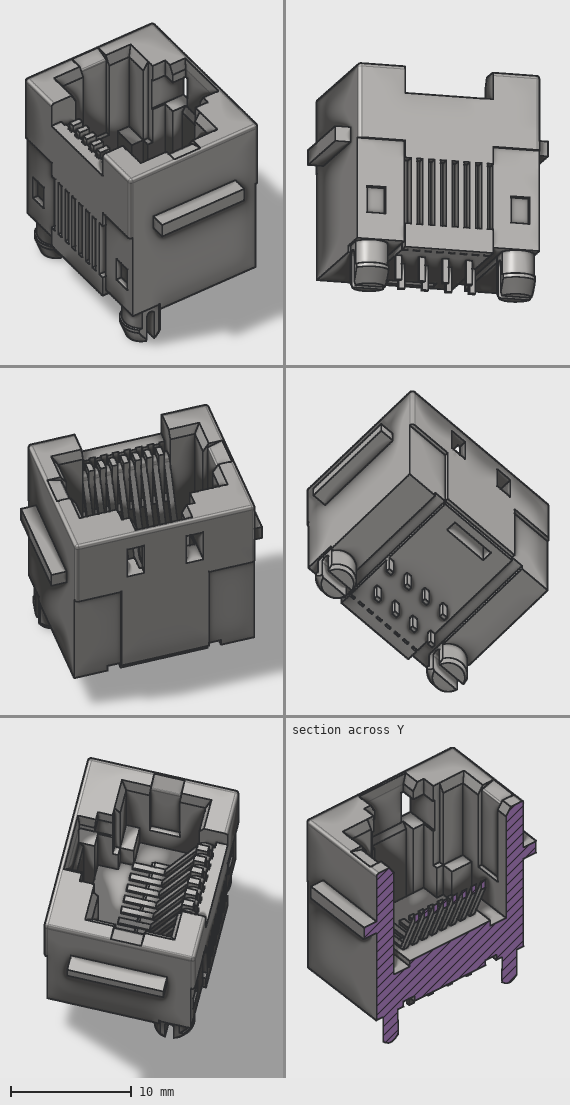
import cadquery as cq
import math


HALF_X = 7.83
HALF_Y = 6.41
TOP_Z = 18.59
BOTTOM_Z = 3.1
EDGE_RADIUS = 0.3
PANEL_STEP = 0.3
PANEL_TOP_Z = 12.2
PANEL_BOTTOM_Z = 3.65
MIDDLE_HALF_X = 3.8
UNDERCUT_BACK_Y = -3.38

EAR_HALF_X = 9.15
EAR_HALF_Y = 4.09
EAR_BOTTOM_Z = 12.35
EAR_TOP_Z = 13.6

CAVITY_HALF_X = 5.93
CAVITY_FRONT_Y = -4.0
CAVITY_BACK_Y = 2.75
MOUTH_HALF_X = 6.43
MOUTH_FRONT_Y = -4.39
MOUTH_BACK_Y = 3.23
CHAMFER_DEPTH = 0.78
LEDGE_Z = 10.2
LEDGE_FRONT_Y = 1.6
FLOOR_Z = 7.06

KEY_HALF_X = 3.83
LATCH_HALF_X = 3.16
LATCH_BACK_Y = 4.48
SLOT_HALF_X = 2.05
SLOT_BACK_Y = 5.78
SLOT_LOWER_BACK_Y = 5.43
SLOT_STEP_TOP_Z = 13.81
SLOT_STEP_BOTTOM_Z = 13.24
SLOT_MOUTH_HALF_X = 2.47
SLOT_MOUTH_BACK_Y = 6.0
WINDOW_INNER_X = 1.82
WINDOW_OUTER_X = 3.3
WINDOW_TOP_Z = 16.95

RELIEF_HALF_X = 6.34
RELIEF_FRONT_Y = -1.82
RELIEF_BACK_Y = 0.76
RELIEF_RIM = 0.15
RELIEF_SLOPE_END_X = 7.62
RELIEF_RIM_Z = 18.22

NOTCH_BOTTOM_Z = 16.25
BAY_FRONT_Y = -5.28
COMB_TOP_Z = 10.73
BAY_FLOOR_Z = COMB_TOP_Z
COMB_BOTTOM_Z = 5.11
GROOVE_FRONT_Y = -5.45

CONTACT_COUNT = 8
CONTACT_WIDTH = 0.5
CONTACT_PITCH = (2 * MIDDLE_HALF_X - CONTACT_WIDTH) / (CONTACT_COUNT - 1)
CONTACT_THICK = 0.33
CURL_RADIUS = 0.61
CURL_TOP_Z = 15.62
CONTACT_BEND_Y = -1.12
CONTACT_FLAT_Z = 7.8
CONTACT_END_Y = LEDGE_FRONT_Y
BLOCK_HALF_X = 4.28
BLOCK_BACK_Y = 0.11
BLOCK_TOP_Z = 7.62
BLOCK_CHAMFER = 0.25
PIN_ROWS = ((-3.36, 1.06), (-0.82, 1.0))
PIN_OVERLAP = 0.37

POCKET_INNER_X = 5.4
POCKET_OUTER_X = 6.99
POCKET_BOTTOM_Z = 5.9
POCKET_TOP_Z = 8.16
POCKET_DEPTH = 0.5

POST_X = 6.3
POST_Y = -4.28
POST_RADIUS = 1.6
POST_HALF_WIDTH = 1.38
BARB_RADIUS = 1.77
BARB_BOTTOM_Z = 1.32
BARB_TOP_Z = 1.65
BARB_SHOULDER_Z = 1.71
FRONT_TIP_RADIUS = 1.3
BACK_TIP_RADIUS = 1.38
BACK_TAPER_Z = 0.48
POST_SLOT_Y = -4.24
POST_SLOT_WIDTH = 0.75


def block(x0, x1, y0, y1, z0, z1):
    """Box between two opposite corners."""
    return cq.Workplane("XY").box(x1 - x0, y1 - y0, z1 - z0, centered=False).translate((x0, y0, z0))


def wide_block(half_x, y0, y1, z0, z1):
    """Box centred on X = 0."""
    return block(-half_x, half_x, y0, y1, z0, z1)


def both_sides(shape):
    """The shape together with its mirror image across X = 0."""
    return shape.union(shape.mirror("YZ"))


def funnel(half_x, y0, y1, mouth_half_x, mouth_y0, mouth_y1):
    """Sloped lead-in from a wide mouth at the top face down to a narrower opening."""
    return (
        cq.Workplane("XY", origin=(0, (y0 + y1) / 2, TOP_Z - CHAMFER_DEPTH))
        .rect(2 * half_x, y1 - y0)
        .workplane(offset=CHAMFER_DEPTH)
        .center(0, (mouth_y0 + mouth_y1 - y0 - y1) / 2)
        .rect(2 * mouth_half_x, mouth_y1 - mouth_y0)
        .loft(combine=True)
    )


def extrude_x(points, x0, x1):
    """Prism along X from a list of (Y, Z) points."""
    return cq.Workplane("YZ", origin=(x0, 0, 0)).polyline(points).close().extrude(x1 - x0)


def make_housing():
    """Rounded outer block with set-back corner panels and an undercut around the posts."""
    body = wide_block(HALF_X, -HALF_Y, HALF_Y, BOTTOM_Z, TOP_Z)
    body = body.edges("|Z or >Z").fillet(EDGE_RADIUS)
    lower = wide_block(HALF_X, -HALF_Y, HALF_Y, BOTTOM_Z, PANEL_TOP_Z)
    body = body.union(lower)

    panel_y = HALF_Y - PANEL_STEP
    for y0, y1 in ((-HALF_Y, -panel_y), (panel_y, HALF_Y)):
        body = body.cut(both_sides(block(MIDDLE_HALF_X, HALF_X, y0, y1, BOTTOM_Z, PANEL_TOP_Z)))
    body = body.cut(wide_block(HALF_X, panel_y, HALF_Y, BOTTOM_Z, PANEL_BOTTOM_Z))
    undercut = block(MIDDLE_HALF_X, HALF_X, -HALF_Y, UNDERCUT_BACK_Y, BOTTOM_Z, PANEL_BOTTOM_Z)
    body = body.cut(both_sides(undercut))
    post_inner_x = POST_X - POST_HALF_WIDTH
    channel = block(MIDDLE_HALF_X, post_inner_x, -HALF_Y, HALF_Y, BOTTOM_Z, PANEL_BOTTOM_Z)
    body = body.cut(both_sides(channel))

    ears = wide_block(EAR_HALF_X, -EAR_HALF_Y, EAR_HALF_Y, EAR_BOTTOM_Z, EAR_TOP_Z)
    return body.union(ears)


def cut_cavity(body):
    """Plug cavity with stop ledges at the back, a deeper contact floor and a chamfered mouth."""
    body = body.cut(wide_block(CAVITY_HALF_X, CAVITY_FRONT_Y, LEDGE_FRONT_Y, FLOOR_Z, TOP_Z))
    body = body.cut(wide_block(CAVITY_HALF_X, LEDGE_FRONT_Y, CAVITY_BACK_Y, LEDGE_Z, TOP_Z))
    mouth = funnel(
        CAVITY_HALF_X, CAVITY_FRONT_Y, CAVITY_BACK_Y, MOUTH_HALF_X, MOUTH_FRONT_Y, MOUTH_BACK_Y
    )
    return body.cut(mouth)


def cut_latch_channel(body):
    """Stepped channel for the plug latch, its through slot and the back windows."""
    body = body.cut(wide_block(KEY_HALF_X, CAVITY_BACK_Y, MOUTH_BACK_Y, LEDGE_Z, TOP_Z))
    body = body.cut(wide_block(KEY_HALF_X, LEDGE_FRONT_Y, CAVITY_BACK_Y, FLOOR_Z, TOP_Z))
    body = body.cut(wide_block(LATCH_HALF_X, LEDGE_FRONT_Y, LATCH_BACK_Y, FLOOR_Z, TOP_Z))

    slot_outline = [
        (LATCH_BACK_Y, BOTTOM_Z),
        (SLOT_LOWER_BACK_Y, BOTTOM_Z),
        (SLOT_LOWER_BACK_Y, SLOT_STEP_BOTTOM_Z),
        (SLOT_BACK_Y, SLOT_STEP_TOP_Z),
        (SLOT_BACK_Y, TOP_Z),
        (LATCH_BACK_Y, TOP_Z),
    ]
    body = body.cut(extrude_x(slot_outline, -SLOT_HALF_X, SLOT_HALF_X))
    body = body.cut(
        funnel(
            SLOT_HALF_X, LATCH_BACK_Y, SLOT_BACK_Y, SLOT_MOUTH_HALF_X, LATCH_BACK_Y, SLOT_MOUTH_BACK_Y
        )
    )
    window = block(
        WINDOW_INNER_X, WINDOW_OUTER_X, CAVITY_BACK_Y, HALF_Y, SLOT_STEP_TOP_Z, WINDOW_TOP_Z
    )
    return body.cut(both_sides(window))


def cut_side_reliefs(body):
    """Relief in each side wall, with a rounded rim and a shallow slope up to the outer edge."""
    relief = block(0, RELIEF_HALF_X, RELIEF_FRONT_Y, RELIEF_BACK_Y, LEDGE_Z, TOP_Z)
    rim_z = RELIEF_RIM_Z - RELIEF_RIM
    rim_x = RELIEF_HALF_X + RELIEF_RIM
    slope = (
        cq.Workplane("XZ", origin=(0, RELIEF_BACK_Y, 0))
        .moveTo(RELIEF_HALF_X, TOP_Z)
        .lineTo(RELIEF_HALF_X, rim_z)
        .radiusArc((rim_x, RELIEF_RIM_Z), RELIEF_RIM)
        .lineTo(RELIEF_SLOPE_END_X, TOP_Z)
        .close()
        .extrude(RELIEF_BACK_Y - RELIEF_FRONT_Y)
    )
    return body.cut(both_sides(relief)).cut(both_sides(slope))


def contact_xs():
    """X positions of the contacts."""
    first = -(CONTACT_COUNT - 1) / 2 * CONTACT_PITCH
    return [first + i * CONTACT_PITCH for i in range(CONTACT_COUNT)]


def cut_contact_bay(body):
    """Front notch, the gap for the contact legs, and slots that leave ribs between the contacts."""
    body = body.cut(wide_block(MIDDLE_HALF_X, -HALF_Y, CAVITY_FRONT_Y, NOTCH_BOTTOM_Z, TOP_Z))
    leg_back_y = BAY_FRONT_Y + CONTACT_THICK
    body = body.cut(wide_block(MIDDLE_HALF_X, BAY_FRONT_Y, leg_back_y, COMB_BOTTOM_Z, TOP_Z))
    half = CONTACT_WIDTH / 2
    for x in contact_xs():
        front_slot = block(x - half, x + half, -HALF_Y, BAY_FRONT_Y, COMB_BOTTOM_Z, COMB_TOP_Z)
        groove = block(x - half, x + half, GROOVE_FRONT_Y, BAY_FRONT_Y, BOTTOM_Z, NOTCH_BOTTOM_Z)
        rib_gap = block(x - half, x + half, leg_back_y, CAVITY_FRONT_Y, BAY_FLOOR_Z, TOP_Z)
        body = body.cut(front_slot).cut(groove).cut(rib_gap)
    return body


def cut_panel_pockets(body):
    """Blind pocket in each front corner panel."""
    face_y = -HALF_Y + PANEL_STEP
    pocket = block(
        POCKET_INNER_X, POCKET_OUTER_X, face_y, face_y + POCKET_DEPTH, POCKET_BOTTOM_Z, POCKET_TOP_Z
    )
    return body.cut(both_sides(pocket))


def make_contact_block():
    """Raised block on the cavity floor that carries the contacts."""
    carrier = wide_block(BLOCK_HALF_X, CAVITY_FRONT_Y, BLOCK_BACK_Y, FLOOR_Z, BLOCK_TOP_Z)
    return carrier.edges(">Y and >Z").chamfer(BLOCK_CHAMFER)


def make_contact():
    """Bent strip: up the front wall, round the curl, down a steep slope and back along the floor."""
    centre_y = BAY_FRONT_Y + CURL_RADIUS
    centre_z = CURL_TOP_Z - CURL_RADIUS
    run = CONTACT_BEND_Y - centre_y
    drop = centre_z - CONTACT_FLAT_Z
    slope = math.atan2(drop, run) + math.asin(CURL_RADIUS / math.hypot(run, drop))
    normal_y = math.sin(slope)
    normal_z = math.cos(slope)
    inner_radius = CURL_RADIUS - CONTACT_THICK
    inner_bend_y = CONTACT_BEND_Y - CONTACT_THICK * math.tan(slope / 2)
    inner_flat_z = CONTACT_FLAT_Z - CONTACT_THICK
    leg_back_y = BAY_FRONT_Y + CONTACT_THICK

    def on_curl(radius):
        return centre_y + radius * normal_y, centre_z + radius * normal_z

    return (
        cq.Workplane("YZ", origin=(-CONTACT_WIDTH / 2, 0, 0))
        .moveTo(leg_back_y, COMB_BOTTOM_Z)
        .radiusArc((BAY_FRONT_Y, COMB_BOTTOM_Z + CONTACT_THICK), CONTACT_THICK)
        .lineTo(BAY_FRONT_Y, centre_z)
        .threePointArc((centre_y, CURL_TOP_Z), on_curl(CURL_RADIUS))
        .lineTo(CONTACT_BEND_Y, CONTACT_FLAT_Z)
        .lineTo(CONTACT_END_Y, CONTACT_FLAT_Z)
        .lineTo(CONTACT_END_Y, inner_flat_z)
        .lineTo(inner_bend_y, inner_flat_z)
        .lineTo(*on_curl(inner_radius))
        .threePointArc((centre_y, centre_z + inner_radius), (leg_back_y, centre_z))
        .close()
        .extrude(CONTACT_WIDTH)
    )


def make_pin(y, tip_z):
    """Straight board pin below the housing."""
    half_x = CONTACT_WIDTH / 2
    half_y = CONTACT_THICK / 2
    return wide_block(half_x, y - half_y, y + half_y, tip_z, BOTTOM_Z + PIN_OVERLAP)


def make_post():
    """Split snap post: barbed front prong, plain tapered back prong, flat sides."""
    reach = 2 * POST_RADIUS

    def revolved(outline):
        return cq.Workplane("XZ").polyline(outline).close().revolve(360, (0, 0, 0), (0, 1, 0))

    barbed = revolved([
        (0, 0),
        (FRONT_TIP_RADIUS, 0),
        (BARB_RADIUS, BARB_BOTTOM_Z),
        (BARB_RADIUS, BARB_TOP_Z),
        (POST_RADIUS, BARB_SHOULDER_Z),
        (POST_RADIUS, PANEL_BOTTOM_Z),
        (0, PANEL_BOTTOM_Z),
    ])
    plain = revolved([
        (0, 0),
        (BACK_TIP_RADIUS, 0),
        (POST_RADIUS, BACK_TAPER_Z),
        (POST_RADIUS, PANEL_BOTTOM_Z),
        (0, PANEL_BOTTOM_Z),
    ])
    front = barbed.intersect(wide_block(POST_HALF_WIDTH, -reach, 0, 0, PANEL_BOTTOM_Z))
    back = plain.intersect(wide_block(POST_HALF_WIDTH, 0, reach, 0, PANEL_BOTTOM_Z))

    slot_y = POST_SLOT_Y - POST_Y
    slot_half = POST_SLOT_WIDTH / 2
    arch_z = BOTTOM_Z - slot_half
    slot = wide_block(reach, slot_y - slot_half, slot_y + slot_half, 0, arch_z)
    arch = (
        cq.Workplane("YZ", origin=(-reach, 0, 0))
        .center(slot_y, arch_z)
        .circle(slot_half)
        .extrude(2 * reach)
    )
    return front.union(back).cut(slot).cut(arch).translate((POST_X, POST_Y, 0))


part = make_housing()
for cut_feature in (
    cut_cavity,
    cut_latch_channel,
    cut_side_reliefs,
    cut_contact_bay,
    cut_panel_pockets,
):
    part = cut_feature(part)

part = part.union(make_contact_block())
for i, contact_x in enumerate(contact_xs()):
    pin = make_pin(*PIN_ROWS[i % len(PIN_ROWS)])
    part = part.union(make_contact().union(pin).translate((contact_x, 0, 0)))
part = part.union(both_sides(make_post()))

result = part.solids().val()